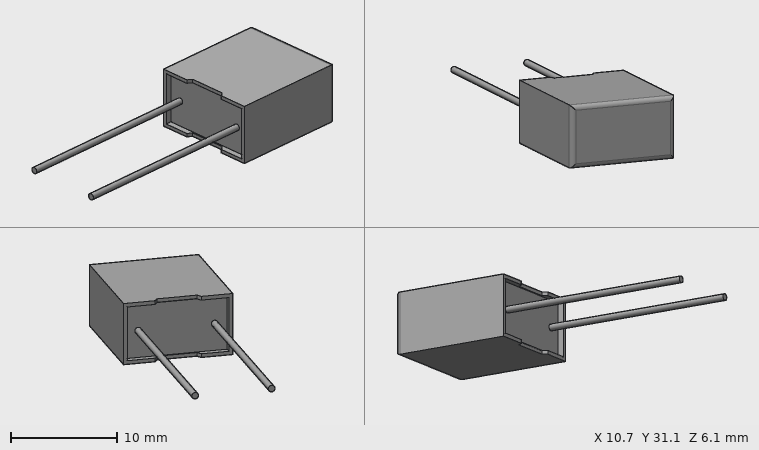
import cadquery as cq

total_length = 31.1
case_width = 10.7
case_height = 6.1
case_length = 12.13
wall = 0.37
back_radius = 0.47

notch_mouth_width = 4.55
notch_floor_width = 3.92
notch_depth = 0.47

resin_recess = 0.62
lead_diameter = 0.65
lead_spacing = 7.5

tip_y = -total_length / 2
back_y = total_length / 2
rim_y = back_y - case_length
resin_y = rim_y + resin_recess
cavity_end_y = back_y - wall

cavity_width = case_width - 2 * wall
cavity_height = case_height - 2 * wall


def block(width, height, start_y, end_y):
    """Box centred on the Y axis, spanning start_y to end_y."""
    length = end_y - start_y
    return cq.Workplane("XY").box(width, length, height).translate((0, start_y + length / 2, 0))


def make_case():
    """Open box with a rounded back and a notch through the top and bottom walls."""
    shell = block(case_width, case_height, rim_y, back_y).faces(">Y").edges().fillet(back_radius)
    shell = shell.cut(block(cavity_width, cavity_height, rim_y, cavity_end_y))
    notch = (
        cq.Workplane("XY")
        .polyline([
            (-notch_mouth_width / 2, rim_y),
            (-notch_floor_width / 2, rim_y + notch_depth),
            (notch_floor_width / 2, rim_y + notch_depth),
            (notch_mouth_width / 2, rim_y),
        ])
        .close()
        .extrude(case_height / 2, both=True)
    )
    return shell.cut(notch)


def make_resin():
    """Filling of the cavity, set back from the rim."""
    return block(cavity_width, cavity_height, resin_y, cavity_end_y)


def make_lead(x):
    """Straight round wire from the tip to the resin face."""
    return (
        cq.Workplane("XZ", origin=(x, resin_y, 0))
        .circle(lead_diameter / 2)
        .extrude(resin_y - tip_y)
    )


case = make_case()
resin = make_resin()
leads = [make_lead(side * lead_spacing / 2) for side in (-1, 1)]

result = cq.Compound.makeCompound([case.val(), resin.val(), *[lead.val() for lead in leads]])